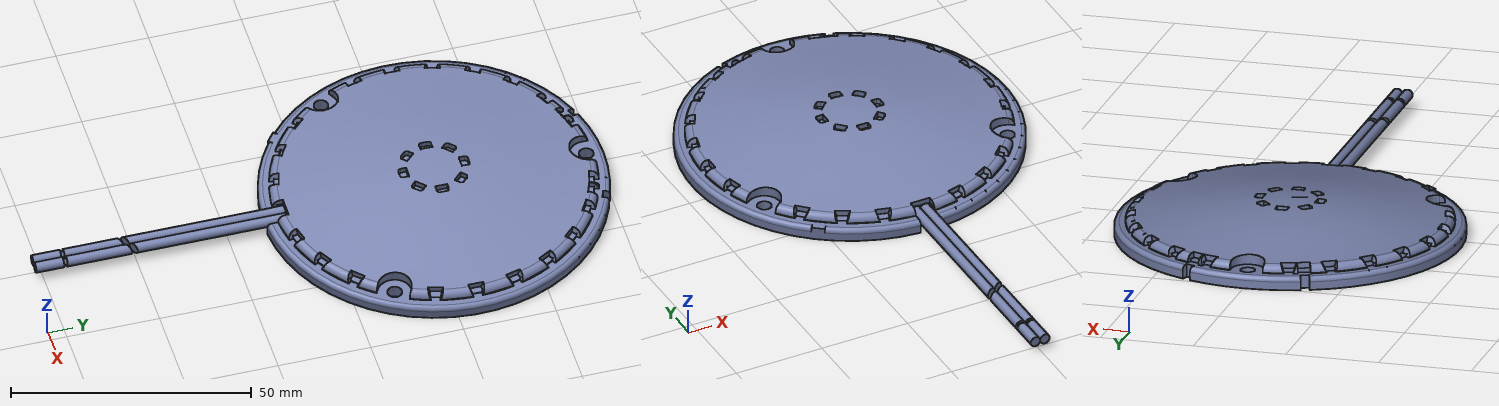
import cadquery as cq
import math

rim_radius = 36.6
rim_top = 2.8
rim_round = 1.0

wall_radius = 34.3
wall_round = 1.6
dome_radius = wall_radius - wall_round
dome_edge_top = rim_top + wall_round + 0.1
dome_top = 8.0
dome_edge_slope = 0.13

cover_thickness = 1.2
cavity_radius = 33.3
cavity_floor = 2.6

screw_angles = [90, 210, 330]
screw_circle = 32.8
screw_hole_diameter = 3.1
screw_recess_radius = 3.6
screw_boss_radius = 4.8

window_pitch = 15
window_floor_width = 2.0
window_top_width = 3.2
window_back = 32.2

rim_slot_angles = [69.5, 110.5]
rim_slot_width = 1.8
rim_slot_bottom = 35.2
pocket_width = 2.7

tab_angle = 232.4
tab_width = 2.8
tab_depth = 1.5

vent_count = 8
vent_inner = 5.7
vent_outer = 7.5
vent_width = 2.6
vent_corner = 0.6
drain_diameter = 1.0
drain_y = -6.5

wire_diameter = 2.2
wire_radius = wire_diameter / 2
wire_z = 2.5
wire_start_y = -32.0
wire_end_y = rim_radius - 123
break_y = -66.3
break_gap = 1.2
break_slope = 0.55
groove_start_y = -79.5
groove_length = 0.7
groove_diameter = 1.4
cable_angle = 270
cable_slot_back = 34.4
cable_slot_width = 2 * wire_diameter

above_all = dome_top + 1.2
outside_all = rim_radius + 1.2


def turned(body, angle):
    return body.rotate((0, 0, 0), (0, 0, 1), angle)


def dome_outline(lowered):
    """Meridian from the axis along the dome curve to its edge, `lowered` below the outer dome."""
    return (
        cq.Workplane("XZ")
        .moveTo(0, dome_top - lowered)
        .spline(
            [(dome_radius, dome_edge_top - lowered)],
            tangents=[(1, 0), (1, -dome_edge_slope)],
            includeCurrent=True,
        )
    )


def revolve_meridian(outline, radius, floor):
    """Close the meridian down the side at `radius` and revolve it about Z."""
    return outline.lineTo(radius, floor).lineTo(0, floor).close().revolve(360, (0, 0, 0), (0, 1, 0))


def radial_box(inner, outer, width, bottom, top, angle):
    """Box that lies along the radius at `angle`."""
    box = cq.Workplane("XY").box(outer - inner, width, top - bottom, centered=(False, True, False))
    return turned(box.translate((inner, 0, bottom)), angle)


def make_base():
    """Disc with a rounded top edge, interrupted by the square tab."""
    disc = cq.Workplane("XY").circle(rim_radius).extrude(rim_top)
    tab = disc.intersect(
        radial_box(rim_radius - tab_depth, outside_all, tab_width, 0, rim_top, tab_angle)
    )
    return disc.faces(">Z").edges().fillet(rim_round).union(tab)


def make_cover():
    """Solid dome with a rounded shoulder."""
    shoulder_bottom = dome_edge_top - wall_round
    diagonal = wall_round * math.sqrt(0.5)
    outline = dome_outline(0).threePointArc(
        (dome_radius + diagonal, shoulder_bottom + diagonal), (wall_radius, shoulder_bottom)
    )
    return revolve_meridian(outline, wall_radius, 0)


def make_cavity():
    """Hollow under the dome that leaves a boss around each screw hole."""
    ceiling = dome_outline(cover_thickness).lineTo(cavity_radius, dome_edge_top - cover_thickness)
    cavity = revolve_meridian(ceiling, cavity_radius, cavity_floor)
    for angle in screw_angles:
        boss = cq.Workplane("XY", origin=(screw_circle, 0, 0)).circle(screw_boss_radius).extrude(above_all)
        cavity = cavity.cut(turned(boss, angle))
    return cavity


def screw_recess(angle):
    """Screw hole in a U-shaped recess, open outward, with its floor level with the rim."""
    center = cq.Workplane("XY", origin=(screw_circle, 0, 0))
    round_end = center.circle(screw_recess_radius).extrude(above_all).translate((0, 0, rim_top))
    open_side = radial_box(
        screw_circle, outside_all, 2 * screw_recess_radius, rim_top, rim_top + above_all, 0
    )
    hole = center.circle(screw_hole_diameter / 2).extrude(above_all)
    return turned(round_end.union(open_side).union(hole), angle)


def window(angle):
    """Radial notch through the cover wall, wider at the top."""
    height = dome_edge_top - rim_top
    half_floor = window_floor_width / 2
    flare = (window_top_width - window_floor_width) / 2
    half_top = half_floor + 2 * flare
    top = rim_top + 2 * height
    notch = (
        cq.Workplane("YZ")
        .polyline([(-half_floor, rim_top), (half_floor, rim_top), (half_top, top), (-half_top, top)])
        .close()
        .extrude(outside_all - window_back)
        .translate((window_back, 0, 0))
    )
    return turned(notch, angle)


def vent(angle):
    """Opening with its two outer corners rounded."""
    opening = radial_box(vent_inner, vent_outer, vent_width, cavity_floor, above_all, 0)
    return turned(opening.edges("|Z and >X").fillet(vent_corner), angle)


def make_housing():
    housing = make_base().union(make_cover()).cut(make_cavity())
    for angle in screw_angles:
        housing = housing.cut(screw_recess(angle))
    for step in range(360 // window_pitch):
        angle = step * window_pitch
        if angle not in screw_angles + [cable_angle]:
            housing = housing.cut(window(angle))
    for angle in rim_slot_angles:
        housing = housing.cut(radial_box(rim_slot_bottom, outside_all, rim_slot_width, 0, above_all, angle))
        housing = housing.cut(radial_box(window_back, outside_all, pocket_width, rim_top, above_all, angle))
    for step in range(vent_count):
        housing = housing.cut(vent(step * 360 / vent_count))
    drain = cq.Workplane("XY").center(0, drain_y).circle(drain_diameter / 2).extrude(cavity_floor)
    rim_gap = radial_box(cable_slot_back, outside_all, cable_slot_width, 0, above_all, cable_angle)
    cable_bottom = wire_z - wire_radius
    channel = radial_box(
        -wire_start_y, outside_all, cable_slot_width, cable_bottom, above_all, cable_angle
    )
    return housing.cut(drain).cut(rim_gap).cut(channel)


def cylinder_along_y(diameter, start_y, end_y, x):
    return cq.Workplane("XZ", origin=(x, start_y, wire_z)).circle(diameter / 2).extrude(start_y - end_y)


def break_slab(start_y, end_y):
    """Everything between two parallel oblique planes across the cable."""
    half = 2 * wire_diameter
    lift = half * break_slope
    return (
        cq.Workplane("XY")
        .polyline(
            [(-half, start_y - lift), (half, start_y + lift), (half, end_y + lift), (-half, end_y - lift)]
        )
        .close()
        .extrude(above_all)
    )


def near_wire(x):
    """Wire from the housing to the break."""
    wire = cylinder_along_y(wire_diameter, wire_start_y, wire_end_y, x)
    return wire.cut(break_slab(break_y + break_gap / 2, 2 * wire_end_y))


def far_wire(x):
    """Wire from the break to the free end, with the groove and the tip."""
    groove_end_y = groove_start_y - groove_length
    wire = cylinder_along_y(wire_diameter, wire_start_y, groove_start_y, x)
    wire = wire.cut(break_slab(-wire_start_y, break_y - break_gap / 2))
    core = cylinder_along_y(groove_diameter, groove_start_y, groove_end_y, x)
    tip = cylinder_along_y(wire_diameter, groove_end_y, wire_end_y, x)
    return wire.union(core).union(tip)


housing = make_housing()
wires = []
for wire_x in (-wire_radius, wire_radius):
    wires.extend(near_wire(wire_x).solids().vals())
    wires.extend(far_wire(wire_x).solids().vals())

result = cq.Compound.makeCompound([*housing.solids().vals(), *wires])